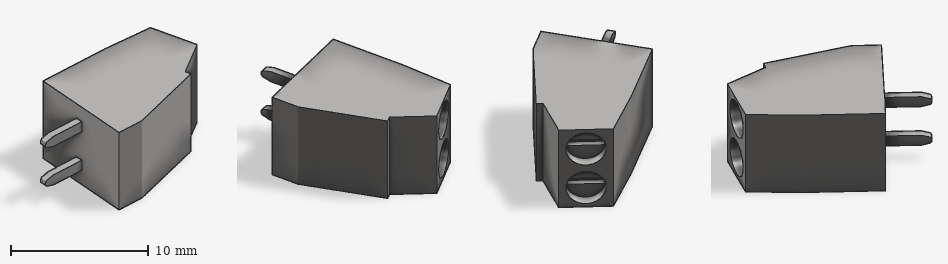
import cadquery as cq
import math


housing_width = 8.4
housing_height = 7.0
pitch = 3.49
side_straight = 6.05
shoulder_x, shoulder_y = 0.22, 10.19
peak_x, peak_y = 4.02, 11.38
notch_x, notch_y = 5.96, 8.54
lip_x, lip_y = 6.44, 8.67
entry_side_straight = 2.22

hole_diameter = 2.9
hole_depth = 0.8
slot_width = 0.5
slot_depth = 0.45

pin_thickness = 0.57
pin_width = 0.91
pin_length = 14.9 - peak_y
pin_center_x = 4.01
taper_start = 2.73
taper_end = 3.28
tip_width = 0.6
pin_overlap = 0.15

pole_heights = (-pitch / 2, pitch / 2)


def make_housing():
    outline = [
        (0, 0),
        (0, side_straight),
        (shoulder_x, shoulder_y),
        (peak_x, peak_y),
        (notch_x, notch_y),
        (lip_x, lip_y),
        (housing_width, entry_side_straight),
        (housing_width, 0),
    ]
    return cq.Workplane("XY").polyline(outline).close().extrude(housing_height / 2, both=True)


def make_screw_hole(z):
    """Slotted blind hole, square to the slanted face at its middle; the slot runs up the slope."""
    run = peak_x - shoulder_x
    rise = peak_y - shoulder_y
    face_length = math.hypot(run, rise)
    slope = cq.Vector(run / face_length, rise / face_length, 0)
    outward = cq.Vector(-rise / face_length, run / face_length, 0)
    center = cq.Vector((shoulder_x + peak_x) / 2, (shoulder_y + peak_y) / 2, z)
    face = cq.Workplane(cq.Plane(origin=center, xDir=slope, normal=outward))
    hole = face.circle(hole_diameter / 2).extrude(-hole_depth)
    full_depth = hole_depth + slot_depth
    slot = (
        face.circle(hole_diameter / 2)
        .extrude(-full_depth)
        .intersect(face.rect(hole_diameter, slot_width).extrude(-full_depth))
    )
    return hole.union(slot)


def make_pin(z):
    """Flat pin pointing to -Y, tapered in Z towards a rounded tip."""
    half_width = pin_width / 2
    half_tip = tip_width / 2
    return (
        cq.Workplane("YZ", origin=(pin_center_x, 0, z))
        .moveTo(pin_overlap, half_width)
        .lineTo(-taper_start, half_width)
        .lineTo(-taper_end, half_tip)
        .threePointArc((-pin_length, 0), (-taper_end, -half_tip))
        .lineTo(-taper_start, -half_width)
        .lineTo(pin_overlap, -half_width)
        .close()
        .extrude(pin_thickness / 2, both=True)
    )


result = make_housing()
for pole_z in pole_heights:
    result = result.cut(make_screw_hole(pole_z))
    result = result.union(make_pin(pole_z))